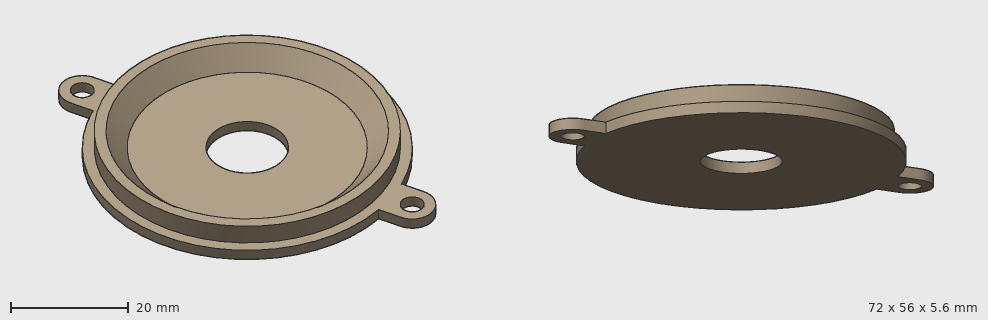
import cadquery as cq

overall_length = 72.0
overall_height = 5.6
flange_diameter = 56.0
plate_thickness = 2.0
ring_diameter = 52.0
rim_width = 2.0
center_hole_diameter = 14.0
ear_width = 8.0
ear_hole_diameter = 4.0

ear_spacing = overall_length - ear_width
dish_depth = overall_height - plate_thickness
dish_top_diameter = ring_diameter - 2 * rim_width
dish_floor_diameter = dish_top_diameter - 2 * dish_depth


def make_base_plate():
    """Round flange with a rounded mounting ear at each end of X."""
    flange = cq.Workplane("XY").circle(flange_diameter / 2).extrude(plate_thickness)
    ears = cq.Workplane("XY").slot2D(overall_length, ear_width).extrude(plate_thickness)
    return flange.union(ears)


def make_raised_ring():
    """Raised ring with a straight outside and a conical inside."""
    ring_outer_radius = ring_diameter / 2
    profile = (
        cq.Workplane("XZ")
        .moveTo(dish_floor_diameter / 2, plate_thickness)
        .lineTo(ring_outer_radius, plate_thickness)
        .lineTo(ring_outer_radius, overall_height)
        .lineTo(dish_top_diameter / 2, overall_height)
        .close()
    )
    return profile.revolve(360, (0, 0, 0), (0, 1, 0))


def make_hole_cutters():
    """Through holes in the dish floor and in both ears."""
    center_hole = cq.Workplane("XY").circle(center_hole_diameter / 2).extrude(plate_thickness)
    ear_holes = (
        cq.Workplane("XY")
        .pushPoints([(-ear_spacing / 2, 0), (ear_spacing / 2, 0)])
        .circle(ear_hole_diameter / 2)
        .extrude(plate_thickness)
    )
    return center_hole.union(ear_holes)


result = make_base_plate().union(make_raised_ring()).cut(make_hole_cutters())